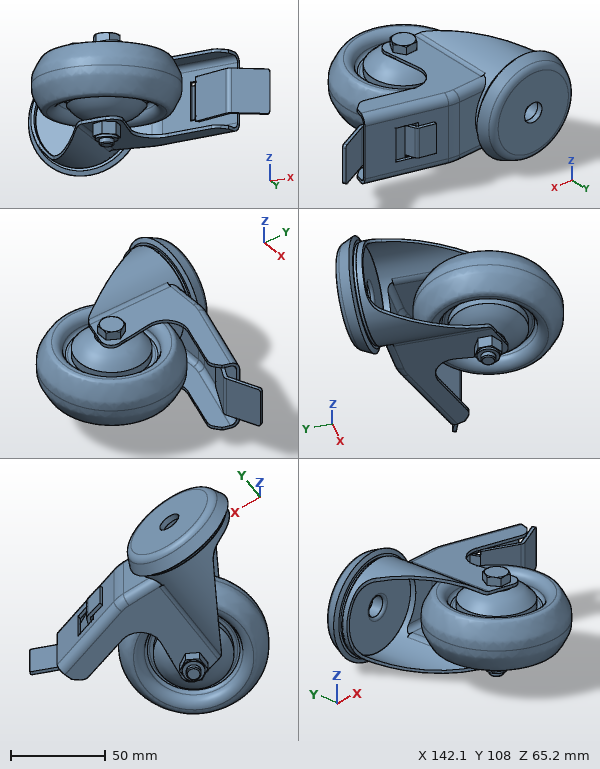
import cadquery as cq
import math


wheel_radius = 40.0
tyre_half_width = 15.0
crest_radius = 32.0
lip_fillet = 5.8
lip_radius = crest_radius - lip_fillet
tyre_shoulder = (35.1, 13.6)
tread_edge = (38.6, 7.2)
rim_radius = 24.5
well_fillet = 2.7
hub_radius = 21.5
hub_face_radius = 9.2
hub_edge_height = 11.4
dome_sphere_radius = 28.4

sheet = 1.8
fork_half_width = 21.9
inner_half_width = fork_half_width - sheet
swivel_x = -32.0
neck_radius = 28.47
neck_top = 56.1
plate_top = 57.7
plate_radius = 27.0
web_top = 54.0
arm_angle = 16.9
arm_bend_x = 11.2
arm_bend_radius = 23.6
arm_end_x = 61.3
arm_end_drop = 10.0
channel_fillet = 5.3
neck_blend = 4.7
axle_hole_diameter = 8.2
block_floor = -14.2
trim_margin = 1.4
slot_start_x = 31.5
slot_end_x = 44.0
slot_half_width = 10.6

cap_radius = 32.0
cap_top = 68.0
cap_rim_y = 59.1
cap_bottom = 57.7
cap_bottom_radius = 29.4
cap_shoulder_radius = 27.8
cap_fillet = 4.7
race_radius = 27.8
race_top = 64.6
bore_diameter = 12.2
bore_flare = 1.7

lever_thickness = 2.0
lever_half_width = 12.28
tab_half_width = 9.4
tab_clearance = 1.1
tab_end = (23.0, 51.3)
tab_root = (35.6, 42.0)
pedal_bend = (57.8, 30.8)
pedal_end = (78.1, 39.8)
tab_bend_x = 33.0
pedal_bend_radius = 3.5
tab_bend_radius = 0.9
pedal_corner_radius = 1.5

bolt_diameter = 8.0
bolt_tip_diameter = 6.7
bolt_end = 33.2
head_height = 5.3
hex_corners = 15.0
hex_flats = hex_corners * math.cos(math.radians(30))
head_chamfer = 0.5
nut_height = 6.8
nut_collar_diameter = 12.2
nut_collar_height = 1.4


def rounded_path(corners):
    """Closed XY outline through (x, y, radius) corners, each rounded with a tangent arc."""
    path = None
    count = len(corners)
    for i, (x, y, radius) in enumerate(corners):
        px, py, _ = corners[i - 1]
        nx, ny, _ = corners[(i + 1) % count]
        to_previous = cq.Vector(px - x, py - y).normalized()
        to_next = cq.Vector(nx - x, ny - y).normalized()
        corner = cq.Vector(x, y)
        half_angle = to_previous.getAngle(to_next) / 2
        setback = radius / math.tan(half_angle)
        start = corner + to_previous * setback
        path = path.lineTo(start.x, start.y) if path else cq.Workplane("XY").moveTo(start.x, start.y)
        if radius:
            end = corner + to_next * setback
            inward = (to_previous + to_next).normalized()
            middle = corner + inward * (radius / math.sin(half_angle) - radius)
            path = path.threePointArc((middle.x, middle.y), (end.x, end.y))
    return path.close()


def slab(outline, half_width):
    """Outline extruded symmetrically about the wheel's middle plane."""
    return outline.extrude(half_width, both=True)


def swivel_cylinder(radius, bottom, top):
    """Cylinder on the swivel axis between two heights along Y."""
    plane = cq.Plane(origin=(swivel_x, bottom, 0), xDir=(1, 0, 0), normal=(0, 1, 0))
    return cq.Workplane(plane).circle(radius).extrude(top - bottom)


def axle_cylinder(diameter, bottom, top):
    """Cylinder on the axle between two heights along Z."""
    return cq.Workplane("XY").workplane(offset=bottom).circle(diameter / 2).extrude(top - bottom)


def arm_y(x, depth=0.0):
    """Height of a line parallel to the arm's outer face, at a normal depth below it."""
    tilt = math.radians(arm_angle)
    return web_top - (x - arm_bend_x) * math.tan(tilt) - depth / math.cos(tilt)



well_wall_z = tyre_half_width - lip_fillet
well_floor = well_wall_z - well_fillet
well_center_r = lip_radius - well_fillet
rim_edge_z = well_wall_z - math.sqrt(well_fillet**2 - (rim_radius - well_center_r) ** 2)
diagonal_share = math.sqrt(0.5)


def make_rim():
    """Domed hub and the floor of the wheel well, mirrored about the middle plane."""
    dome_mid_r = (hub_face_radius + hub_radius) / 2
    sphere_z = inner_half_width - math.sqrt(dome_sphere_radius**2 - hub_face_radius**2)
    dome_mid_z = sphere_z + math.sqrt(dome_sphere_radius**2 - dome_mid_r**2)
    floor_mid_r = (well_center_r + rim_radius) / 2
    floor_mid_z = well_wall_z - math.sqrt(well_fillet**2 - (floor_mid_r - well_center_r) ** 2)
    bore = axle_hole_diameter / 2
    half = (
        cq.Workplane("XZ")
        .moveTo(bore, 0)
        .lineTo(bore, inner_half_width)
        .lineTo(hub_face_radius, inner_half_width)
        .threePointArc((dome_mid_r, dome_mid_z), (hub_radius, hub_edge_height))
        .lineTo(hub_radius, well_floor)
        .lineTo(well_center_r, well_floor)
        .threePointArc((floor_mid_r, floor_mid_z), (rim_radius, rim_edge_z))
        .lineTo(rim_radius, 0)
        .close()
        .revolve(360, (0, 0, 0), (0, 1, 0))
    )
    return half.union(half.mirror("XY"))


def make_tyre():
    """Rubber tyre with a crowned tread, mirrored about the middle plane."""
    wall_mid_angle = math.asin((rim_radius - well_center_r) / well_fillet) / 2 + math.radians(45)
    wall_mid = (
        well_center_r + well_fillet * math.sin(wall_mid_angle),
        well_wall_z - well_fillet * math.cos(wall_mid_angle),
    )
    lip_mid = (crest_radius - lip_fillet * diagonal_share, well_wall_z + lip_fillet * diagonal_share)
    half = (
        cq.Workplane("XZ")
        .moveTo(rim_radius, 0)
        .lineTo(rim_radius, rim_edge_z)
        .threePointArc(wall_mid, (lip_radius, well_wall_z))
        .threePointArc(lip_mid, (crest_radius, tyre_half_width))
        .spline(
            [tyre_shoulder, tread_edge, (wheel_radius, 0)],
            tangents=[(1, 0), (0, -1)],
            includeCurrent=True,
        )
        .close()
        .revolve(360, (0, 0, 0), (0, 1, 0))
    )
    return half.union(half.mirror("XY"))




def channel(inset):
    """Bent channel block from the neck to the arm end, shrunk by a sheet inset."""
    half_tilt = math.radians(arm_angle / 2)
    bend_x = arm_bend_x - inset * math.tan(half_tilt)
    top = web_top - inset
    far_x = arm_end_x + 2 * sheet
    outline = rounded_path([
        (swivel_x, block_floor, 0),
        (far_x, block_floor, 0),
        (far_x, arm_y(far_x, inset), 0),
        (bend_x, top, arm_bend_radius - inset),
        (swivel_x, top, 0),
    ])
    block = slab(outline, fork_half_width - inset)
    ridge = cq.selectors.BoxSelector(
        (swivel_x + sheet, 0, -neck_radius),
        (arm_end_x, neck_top, neck_radius),
    )
    return block.faces("|Z").edges(ridge).fillet(channel_fillet - inset)


def fork_side_profile():
    """Side outline that trims the neck, the cheeks and the brake arm."""
    tilt = math.radians(arm_angle)
    arm_end_y = arm_y(arm_end_x)
    return rounded_path([
        (swivel_x - neck_radius - trim_margin, 52.8, 0),
        (-48.7, 52.1, 12.8),
        (-15.0, -4.7, 7.1),
        (11.2, -11.6, 6.0),
        (4.4, 39.0, 12.5),
        (52.8, 24.7, 5.7),
        (arm_end_x - arm_end_drop * math.sin(tilt), arm_end_y - arm_end_drop * math.cos(tilt), 0),
        (arm_end_x, arm_end_y, 0),
        (arm_end_x, plate_top + trim_margin, 0),
        (swivel_x - neck_radius - trim_margin, plate_top + trim_margin, 0),
    ])


def neck_blends(inset):
    """Concave fillers that blend the neck cylinder into both cheeks."""
    neck = neck_radius - inset
    blend = neck_blend + inset
    half_width = fork_half_width - inset
    center_x = swivel_x + math.sqrt((neck + blend) ** 2 - (half_width + blend) ** 2)
    center_z = half_width + blend
    neck_share = neck / (neck + blend)
    neck_tangent = (swivel_x + (center_x - swivel_x) * neck_share, center_z * neck_share)
    swing = math.atan2(center_z - neck_tangent[1], center_x - neck_tangent[0])
    mid_angle = (swing + math.pi / 2) / 2
    arc_mid = (center_x - blend * math.cos(mid_angle), center_z - blend * math.sin(mid_angle))
    root_z = inner_half_width / 2
    plane = cq.Plane(origin=(0, block_floor, 0), xDir=(1, 0, 0), normal=(0, 1, 0))
    filler = (
        cq.Workplane(plane)
        .moveTo(center_x, half_width)
        .threePointArc(arc_mid, neck_tangent)
        .lineTo(neck_tangent[0], root_z)
        .lineTo(center_x, root_z)
        .close()
        .extrude(web_top - channel_fillet - block_floor)
    )
    return filler.union(filler.mirror("XY"))


def fork_block(inset, top):
    """Neck cylinder up to a given height joined to the channel, shrunk by a sheet inset."""
    neck = swivel_cylinder(neck_radius - inset, block_floor, top)
    return neck.union(channel(inset)).union(neck_blends(inset))


def flared_bore():
    """Bore through the closing plate with a rounded mouth on its lower face."""
    radius = bore_diameter / 2
    mouth = plate_top - sheet
    rounding = bore_flare * (1 - diagonal_share)
    profile = (
        cq.Workplane("XY")
        .moveTo(0, mouth)
        .lineTo(radius + bore_flare, mouth)
        .threePointArc((radius + rounding, mouth + rounding), (radius, mouth + bore_flare))
        .lineTo(radius, plate_top)
        .lineTo(0, plate_top)
        .close()
    )
    return profile.revolve(360, (0, 0, 0), (0, 1, 0)).translate((swivel_x, 0, 0))


def brake_slot():
    """Block that cuts the window for the lever tab in the arm."""
    length = slot_end_x - slot_start_x
    height = 4 * channel_fillet
    block = cq.Workplane("XY").box(length, height, 2 * slot_half_width, centered=(False, True, True))
    return block.translate((slot_start_x, arm_y(slot_start_x), 0))


def make_fork():
    """Sheet fork: round neck with a closing plate, two cheeks and the channel-shaped brake arm."""
    outer = fork_block(0, neck_top).union(swivel_cylinder(plate_radius, web_top, plate_top))
    fork = outer.cut(fork_block(sheet, plate_top - sheet))
    fork = fork.intersect(slab(fork_side_profile(), neck_radius + trim_margin))
    fork = fork.cut(flared_bore()).cut(brake_slot())
    return fork.cut(axle_cylinder(axle_hole_diameter, -fork_half_width, fork_half_width))




def make_race():
    """Bearing race between the fork and the cap."""
    race = swivel_cylinder(race_radius, neck_top, race_top)
    race = race.cut(swivel_cylinder(plate_radius, neck_top, plate_top))
    return race.cut(swivel_cylinder(bore_diameter / 2, neck_top, race_top))


def make_cap():
    """Conical cap with a recess for the race and a through bore for the mounting bolt."""
    profile = rounded_path([
        (0, cap_bottom, 0),
        (cap_bottom_radius, cap_bottom, 0),
        (cap_radius, cap_rim_y, 0),
        (cap_shoulder_radius, cap_top, cap_fillet),
        (0, cap_top, 0),
    ])
    cap = profile.revolve(360, (0, 0, 0), (0, 1, 0)).translate((swivel_x, 0, 0))
    cap = cap.cut(swivel_cylinder(race_radius, cap_bottom, race_top))
    return cap.cut(swivel_cylinder(bore_diameter / 2, race_top, cap_top))




def strip_upper_side(points, thickness):
    """Points of the parallel line on the left of a polyline, mitred at its corners."""
    upper = []
    for i, (x, y) in enumerate(points):
        start = points[max(i - 1, 0)]
        end = points[min(i + 1, len(points) - 1)]
        before = cq.Vector(x - start[0], y - start[1])
        after = cq.Vector(end[0] - x, end[1] - y)
        before = before.normalized() if before.Length else after.normalized()
        after = after.normalized() if after.Length else before
        normal = cq.Vector(-before.y - after.y, before.x + after.x).normalized()
        reach = thickness / math.cos(before.getAngle(after) / 2)
        upper.append((x + normal.x * reach, y + normal.y * reach))
    return upper


def make_lever():
    """Bent plate: a narrow tab through the arm slot, a wide plate and a pedal."""
    tab_bend = (tab_bend_x, arm_y(tab_bend_x, -tab_clearance))
    lower = [tab_end, tab_bend, tab_root, pedal_bend, pedal_end]
    upper = strip_upper_side(lower, lever_thickness)
    lower_radii = [0, tab_bend_radius, 0, pedal_bend_radius, 0]
    upper_radii = [0, tab_bend_radius + lever_thickness, 0, pedal_bend_radius - lever_thickness, 0]
    corners = [(x, y, r) for (x, y), r in zip(lower, lower_radii)]
    corners += [(x, y, r) for (x, y), r in reversed(list(zip(upper, upper_radii)))]
    tab = slab(rounded_path(corners[:3] + corners[-3:]), tab_half_width)
    plate = slab(rounded_path(corners[2:-2]), lever_half_width)
    plate = plate.faces(">X").edges("not |Z").fillet(pedal_corner_radius)
    return plate.union(tab)




def make_bolt():
    """Axle bolt with a chamfered hexagon head on +Z."""
    head_top = fork_half_width + head_height
    tip_chamfer = (bolt_diameter - bolt_tip_diameter) / 2
    shank = axle_cylinder(bolt_diameter, -bolt_end, fork_half_width).faces("<Z").chamfer(tip_chamfer)
    head = cq.Workplane("XY").workplane(offset=fork_half_width).polygon(6, hex_corners).extrude(head_height)
    corner_depth = (hex_corners - hex_flats) / 2
    crown = axle_cylinder(hex_corners, fork_half_width, head_top)
    crown = crown.faces(">Z").chamfer(head_chamfer, corner_depth)
    return shank.union(head.intersect(crown))


def make_nut():
    """Hexagon nut with a round locking collar, corners pointing along Y."""
    nut_end = -fork_half_width - nut_height
    nut = cq.Workplane("XY").workplane(offset=nut_end).polygon(6, hex_corners).extrude(nut_height)
    nut = nut.rotate((0, 0, 0), (0, 0, 1), 90)
    nut = nut.union(axle_cylinder(nut_collar_diameter, nut_end - nut_collar_height, nut_end))
    return nut.cut(axle_cylinder(bolt_diameter, -bolt_end, 0))


rim = make_rim()
tyre = make_tyre()
fork = make_fork()
race = make_race()
cap = make_cap()
lever = make_lever()
bolt = make_bolt()
nut = make_nut()

result = cq.Compound.makeCompound([
    rim.val(),
    tyre.val(),
    fork.val(),
    race.val(),
    cap.val(),
    lever.val(),
    bolt.val(),
    nut.val(),
])